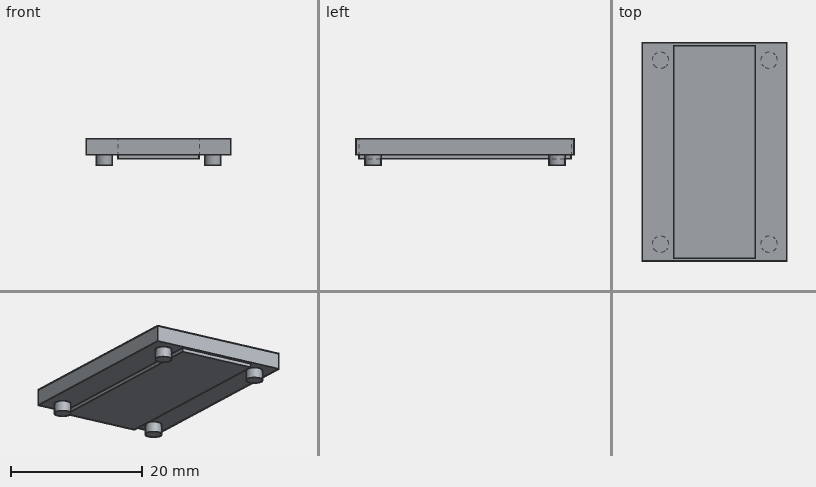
import cadquery as cq

plate_width = 22.02
plate_length = 33.22
plate_thickness = 2.5

foot_diameter = 2.5
foot_height = 1.6
foot_spacing_x = 16.5
foot_spacing_y = 27.97

insert_width = 12.4
insert_length = 32.3
insert_protrusion = 0.6
insert_thickness = plate_thickness + insert_protrusion


def make_insert():
    """Flat block whose top face lies level with the top of the plate."""
    return (
        cq.Workplane("XY")
        .workplane(offset=-insert_protrusion)
        .rect(insert_width, insert_length)
        .extrude(insert_thickness)
    )


def make_plate():
    """Plate with a through window for the insert and four feet below."""
    plate = (
        cq.Workplane("XY")
        .rect(plate_width, plate_length)
        .rect(insert_width, insert_length)
        .extrude(plate_thickness)
    )
    feet = (
        cq.Workplane("XY")
        .rect(foot_spacing_x, foot_spacing_y, forConstruction=True)
        .vertices()
        .circle(foot_diameter / 2)
        .extrude(-foot_height)
    )
    return plate.union(feet)


plate = make_plate()
insert = make_insert()

result = cq.Compound.makeCompound([plate.solids().val(), insert.val()])